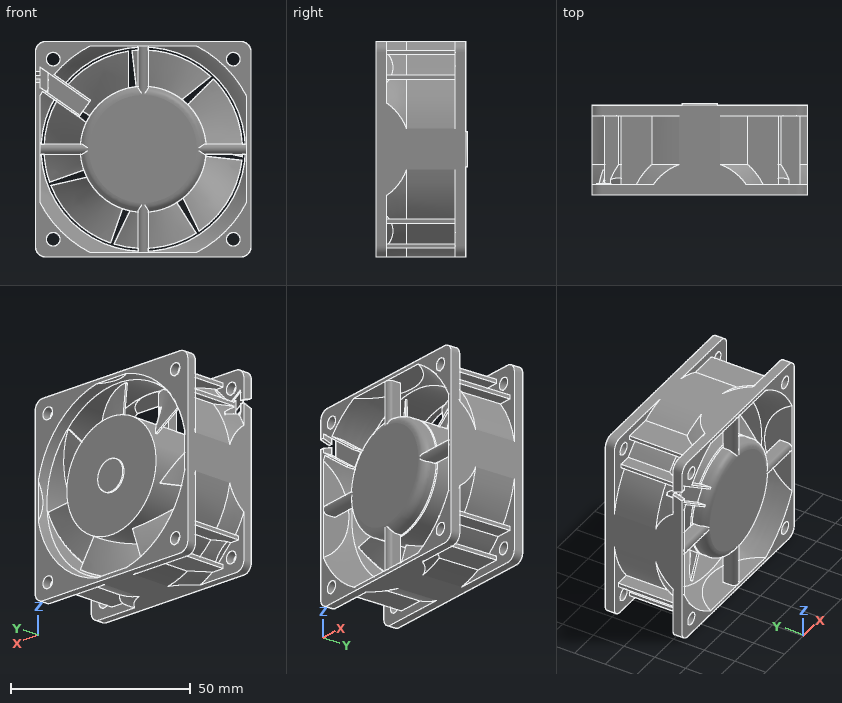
import cadquery as cq
import math


frame_side = 60.0
frame_depth = 25.0
flange_thickness = 3.0
flange_corner_radius = 3.0
mount_hole_diameter = 3.7
mount_hole_offset = 25.0
outlet_flange_y = frame_depth - flange_thickness

bore_radius = 56.7 / 2
inlet_radius = 32.3
inlet_middle_radius = 30.7
inlet_depth = 9.6
bell_outer_depth = 8.5
outlet_radius = 29.35
opening_square_side = 57.5
duct_outer_radius = 30.55
bell_outer_radius = 32.65
bell_outer_middle_radius = 31.75
bell_corner_flat = 32.1

rib_thickness = 1.2
upper_rib_top = 27.5
upper_rib_reach = 21.85
middle_rib_top = 20.6
middle_rib_reach = 27.9

motor_radius = 35.05 / 2
motor_edge_radius = 2.5
motor_depth = 4.3
strut_width = 2.9
strut_depth = 4.0
strut_count = 4

trough_angle = 35.0
trough_inner_width = 4.6
trough_wall = 0.55
trough_floor_y = 2.5
trough_depth = 3.2
trough_wall_z = 20.05
trough_tip_distance = 15.25
cable_well_edge_x = -26.4
cable_well_depth = 6.95
cable_slot_front_width = 3.0
cable_slot_back_width = 0.95

rotor_gap = 0.5
shoulder_radius = 30.95 / 2
rotor_front_y = motor_depth + rotor_gap
rear_boss_radius = 9.85 / 2
rear_boss_height = 0.5
blade_count = 7
blade_root_radius = 16.8
blade_tip_radius = 27.6
blade_front_y = 9.9
blade_rear_y = 22.5
blade_camber = 0.4
blade_thickness = 0.6
blade_root_start = 104.0
blade_tip_start = 98.5
blade_end = 148.0
blade_curve_points = 7


def box(x_range, y_range, z_range):
    """Box between the given limits along X, Y and Z."""
    lows, highs = zip(x_range, y_range, z_range)
    sizes = [high - low for low, high in zip(lows, highs)]
    return cq.Workplane("XY").box(*sizes, centered=False).translate(lows)


def square_prism(side, y_start, y_end):
    """Square block centred on the air axis."""
    half = side / 2
    return box((-half, half), (y_start, y_end), (-half, half))


def cylinder(radius, y_start, y_end):
    """Round block centred on the air axis."""
    return cq.Workplane("XZ", origin=(0, y_start, 0)).circle(radius).extrude(y_start - y_end)


def around_axis(shape, angle):
    return shape.rotate((0, 0, 0), (0, 1, 0), angle)


def make_flange(y_start):
    plate = square_prism(frame_side, y_start, y_start + flange_thickness)
    return plate.edges("|Y").fillet(flange_corner_radius)


def make_duct_shell():
    """Outside of the duct, flush with the frame sides and flattened at the four corners."""
    middle_y = (flange_thickness + bell_outer_depth) / 2
    bell = (
        cq.Workplane("XY")
        .moveTo(0, 0)
        .lineTo(bell_outer_radius, 0)
        .lineTo(bell_outer_radius, flange_thickness)
        .threePointArc((bell_outer_middle_radius, middle_y), (duct_outer_radius, bell_outer_depth))
        .lineTo(duct_outer_radius, frame_depth)
        .lineTo(0, frame_depth)
        .close()
        .revolve(360, (0, 0), (0, 1))
    )
    corner_limit = around_axis(square_prism(2 * bell_corner_flat, 0, frame_depth), 45)
    return bell.intersect(square_prism(frame_side, 0, frame_depth)).intersect(corner_limit)


def make_air_passage():
    """Bell mouth, bore and flared outlet, all held inside a square."""
    passage = (
        cq.Workplane("XY")
        .moveTo(0, 0)
        .lineTo(inlet_radius, 0)
        .threePointArc((inlet_middle_radius, inlet_depth / 2), (bore_radius, inlet_depth))
        .lineTo(bore_radius, outlet_flange_y)
        .lineTo(outlet_radius, frame_depth)
        .lineTo(0, frame_depth)
        .close()
        .revolve(360, (0, 0), (0, 1))
    )
    return passage.intersect(square_prism(opening_square_side, 0, frame_depth))


def make_ribs():
    """Four ribs, with one middle rib cut short where the cable leaves the trough."""
    ribs = cq.Workplane("XY")
    for top, reach in ((upper_rib_top, upper_rib_reach), (middle_rib_top, middle_rib_reach)):
        upper = box((-reach, reach), (flange_thickness, outlet_flange_y), (top - rib_thickness, top))
        ribs = ribs.add(upper).add(upper.mirror("XY"))
    cable_clearance = box(
        (-frame_side / 2, cable_well_edge_x),
        (flange_thickness, outlet_flange_y),
        (0, frame_side / 2),
    )
    return ribs.combine().cut(cable_clearance)


def make_motor_housing():
    return cylinder(motor_radius, 0, motor_depth).faces("<Y").edges().fillet(motor_edge_radius)


def make_strut():
    """Round-fronted strut from the motor to the top wall of the frame."""
    half_width = strut_width / 2
    inner_z = motor_radius - motor_edge_radius
    outer_z = (opening_square_side + frame_side) / 4
    return (
        cq.Workplane("XY", origin=(0, 0, inner_z))
        .moveTo(-half_width, strut_depth)
        .lineTo(-half_width, half_width)
        .threePointArc((0, 0), (half_width, half_width))
        .lineTo(half_width, strut_depth)
        .close()
        .extrude(outer_z - inner_z)
    )


def trough_block(width, y_start, y_end):
    """Block along the sloping trough, starting at the inside of the frame wall."""
    wall_x = -opening_square_side / 2
    overlap = trough_inner_width
    block = box((-overlap, trough_tip_distance), (y_start, y_end), (-width / 2, width / 2))
    block = around_axis(block, trough_angle).translate((wall_x, 0, trough_wall_z))
    return block.intersect(box((wall_x, 0), (y_start, y_end), (0, frame_side / 2)))


def make_cable_slot():
    """Slot through the wall of the inlet flange, narrowing towards its back."""
    front = cable_slot_front_width / 2
    back = cable_slot_back_width / 2
    outline = [
        (0, trough_wall_z - front),
        (0, trough_wall_z + front),
        (flange_thickness, trough_wall_z + back),
        (flange_thickness, trough_wall_z - back),
    ]
    wall_thickness = (frame_side - opening_square_side) / 2
    start = cq.Workplane("YZ", origin=(-frame_side / 2, 0, 0))
    return start.polyline(outline).close().extrude(wall_thickness)


def make_cable_well():
    """Opening at the outer end of the trough that leads out behind the inlet flange."""
    x_range = (-frame_side / 2, cable_well_edge_x)
    limit = box(x_range, (0, cable_well_depth), (0, frame_side / 2))
    return trough_block(trough_inner_width, 0, cable_well_depth).intersect(limit)


def make_frame():
    frame = make_duct_shell().union(make_ribs())
    frame = frame.union(make_flange(0)).union(make_flange(outlet_flange_y))
    frame = frame.cut(make_air_passage())

    frame = frame.union(make_motor_housing())
    strut = make_strut()
    for index in range(strut_count):
        frame = frame.union(around_axis(strut, index * 360 / strut_count))

    frame = frame.union(trough_block(trough_inner_width + 2 * trough_wall, 0, trough_depth))
    frame = frame.cut(trough_block(trough_inner_width, 0, trough_floor_y))
    frame = frame.cut(make_cable_well()).cut(make_cable_slot())

    hole_spacing = 2 * mount_hole_offset
    holes = (
        cq.Workplane("XZ")
        .rect(hole_spacing, hole_spacing, forConstruction=True)
        .vertices()
        .circle(mount_hole_diameter / 2)
        .extrude(-frame_depth)
    )
    return frame.cut(holes)


def blade_edge(radius, start_angle, y_offset):
    """Edge of a blade at one radius, climbing around the axis and flattening towards its rear."""
    points = []
    for index in range(blade_curve_points):
        part = index / (blade_curve_points - 1)
        angle = math.radians(start_angle + part * (blade_end - start_angle))
        climb = part * (1 + blade_camber * (1 - part))
        y = blade_front_y + climb * (blade_rear_y - blade_thickness - blade_front_y) + y_offset
        points.append(cq.Vector(radius * math.cos(angle), y, radius * math.sin(angle)))
    return cq.Edge.makeSpline(points)


def make_blade():
    """Twisted blade bounded by ruled faces between four curved edges."""
    ruled = cq.Face.makeRuledSurface
    root_front = blade_edge(blade_root_radius, blade_root_start, 0)
    root_rear = blade_edge(blade_root_radius, blade_root_start, blade_thickness)
    tip_front = blade_edge(blade_tip_radius, blade_tip_start, 0)
    tip_rear = blade_edge(blade_tip_radius, blade_tip_start, blade_thickness)

    faces = [
        ruled(root_front, tip_front),
        ruled(root_rear, tip_rear),
        ruled(root_front, root_rear),
        ruled(tip_front, tip_rear),
    ]
    for end in (cq.Edge.startPoint, cq.Edge.endPoint):
        corners = [end(edge) for edge in (root_front, tip_front, tip_rear, root_rear)]
        faces.append(cq.Face.makeFromWires(cq.Wire.makePolygon(corners, close=True)))
    return cq.Workplane(obj=cq.Solid.makeSolid(cq.Shell.makeShell(faces)))


def make_impeller():
    """Hub with a shoulder against the motor, a rear boss and a ring of blades."""
    impeller = cylinder(motor_radius, rotor_front_y, frame_depth)
    impeller = impeller.union(cylinder(shoulder_radius, motor_depth, rotor_front_y))
    impeller = impeller.union(cylinder(rear_boss_radius, frame_depth, frame_depth + rear_boss_height))
    blade = make_blade()
    for index in range(blade_count):
        impeller = impeller.union(around_axis(blade, index * 360 / blade_count))
    return impeller


frame = make_frame()
impeller = make_impeller()

result = cq.Compound.makeCompound([*frame.solids().vals(), *impeller.solids().vals()])